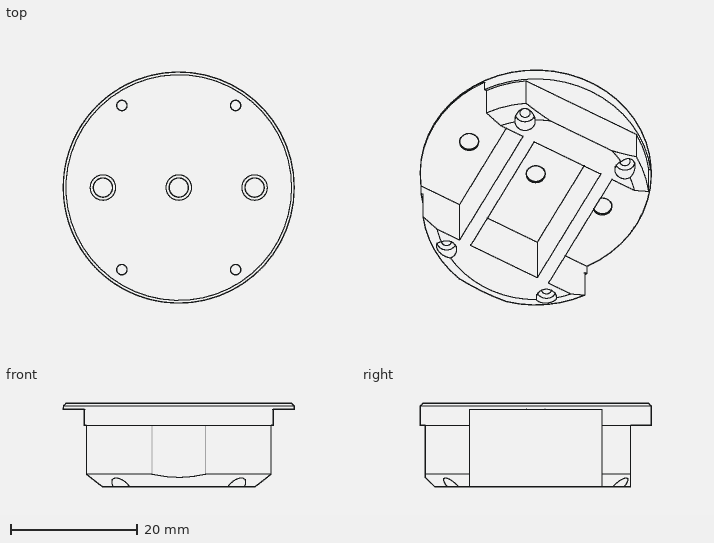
import cadquery as cq

height = 13.25
cap_radius = 18.3
cap_thickness = 3.5
cap_edge_chamfer = 0.45

body_radius = 18.0
body_height = height - cap_thickness
body_edge_chamfer = 2.0
front_flat_y = -17.5
back_flat_y = 15.0

pocket_width = 21.0
slot_inner_x = 8.0
dividing_wall = 2.0
central_pocket_x = slot_inner_x - dividing_wall
web_thickness = 1.0

main_hole_diameter = 3.0
countersink_diameter = 4.03
countersink_angle = 90
main_hole_spacing = 12.0

screw_hole_diameter = 1.6
screw_head_diameter = 3.2
screw_head_depth = 3.0
screw_spacing_x = 18.0
screw_spacing_y = 26.0


def make_cap():
    cap = cq.Workplane("XY").workplane(offset=body_height).circle(cap_radius).extrude(cap_thickness)
    return cap.faces(">Z").edges().chamfer(cap_edge_chamfer)


def make_body():
    """Cylinder with a chamfered lower edge, trimmed flat at the front and back."""
    body = cq.Workplane("XY").circle(body_radius).extrude(body_height)
    body = body.faces("<Z").edges().chamfer(body_edge_chamfer)
    trim = cq.Workplane("XY").box(
        2 * body_radius, back_flat_y - front_flat_y, body_height, centered=(True, False, False)
    )
    return body.intersect(trim.translate((0, front_flat_y, 0)))


def make_pocket(start_x, end_x):
    """Cutter from the underside up to the web, spanning the given X range."""
    pocket = cq.Workplane("XY").box(
        end_x - start_x, pocket_width, height - web_thickness, centered=(False, True, False)
    )
    return pocket.translate((start_x, 0, 0))


def cut_main_holes(part):
    top = part.faces(">Z").workplane(origin=(0, 0, height))
    top = top.pushPoints([(x, 0) for x in (-main_hole_spacing, 0, main_hole_spacing)])
    return top.cskHole(main_hole_diameter, countersink_diameter, countersink_angle)


def cut_screw_holes(part):
    positions = cq.Workplane("XY").rect(screw_spacing_x, screw_spacing_y, forConstruction=True).vertices()
    shanks = positions.circle(screw_hole_diameter / 2).extrude(height)
    heads = positions.circle(screw_head_diameter / 2).extrude(screw_head_depth)
    return part.cut(shanks).cut(heads)


result = make_cap().union(make_body())
pocket_ranges = [
    (-cap_radius, -slot_inner_x),
    (-central_pocket_x, central_pocket_x),
    (slot_inner_x, cap_radius),
]
for start_x, end_x in pocket_ranges:
    result = result.cut(make_pocket(start_x, end_x))
result = cut_main_holes(result)
result = cut_screw_holes(result)